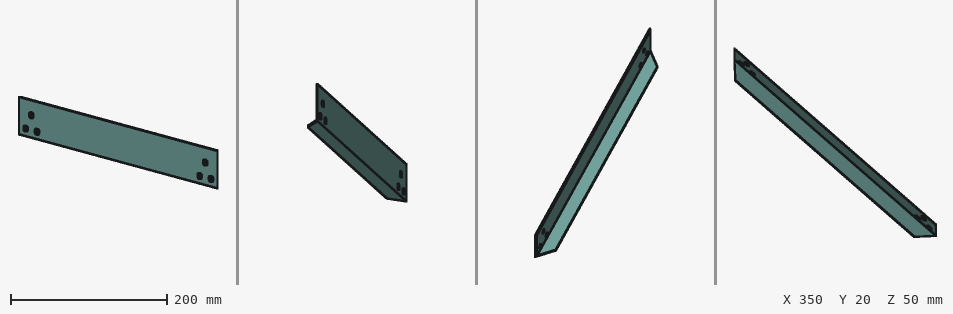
import cadquery as cq

length = 350.0
depth = 20.0
height = 50.0
thickness = 2.0

hole_diameter = 5.0
countersink_diameter = 8.0
countersink_angle = 90.0
hole_pitch = 20.0
end_to_first_hole = 12.0
lower_hole_height = 10.0

angle_bar = (
    cq.Workplane("YZ")
    .polyline([
        (0, 0),
        (depth, 0),
        (depth, thickness),
        (thickness, thickness),
        (thickness, height),
        (0, height),
    ])
    .close()
    .extrude(length / 2, both=True)
)

mitre_envelope = (
    cq.Workplane("XY")
    .polyline([
        (-length / 2, 0),
        (length / 2, 0),
        (length / 2 - depth, depth),
        (-length / 2 + depth, depth),
    ])
    .close()
    .extrude(height)
)
mitred_bar = angle_bar.intersect(mitre_envelope)

hole_points = []
for side in (-1, 1):
    outer_x = length / 2 - end_to_first_hole
    hole_points += [
        (side * outer_x, lower_hole_height),
        (side * (outer_x - hole_pitch), lower_hole_height),
        (side * (outer_x - hole_pitch / 2), lower_hole_height + hole_pitch),
    ]

result = (
    mitred_bar.faces("<Y")
    .workplane(origin=(0, 0, 0))
    .pushPoints(hole_points)
    .cskHole(hole_diameter, countersink_diameter, countersink_angle, depth=thickness)
)